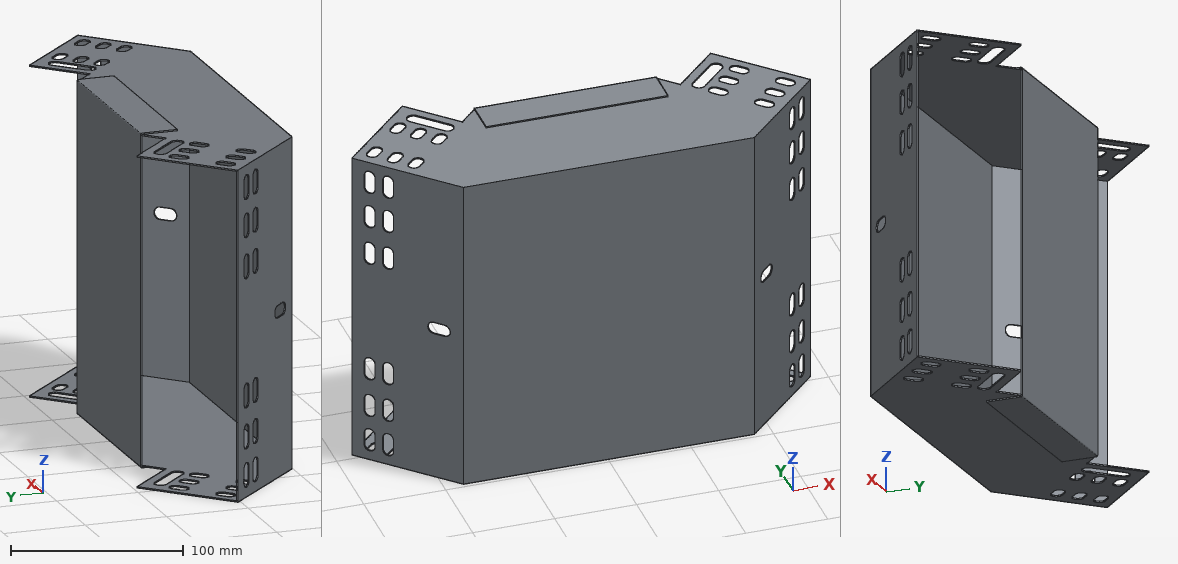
import cadquery as cq
import math

overall_width = 279.8
overall_depth = 97.0
overall_height = 203.1
sheet = 0.8

fold_angle = 45.0
tray_height = overall_height - 2 * sheet
half_width = overall_width / 2
fold_x = 88.7
flange_back_y = 80.5
wing_back_length = 39.0
wing_corner_y = half_width - fold_x

wing_rise = overall_depth - wing_corner_y
peak_x = half_width - wing_rise
notch_step = wing_back_length * math.cos(math.radians(fold_angle))
notch_x = peak_x - notch_step
notch_y = overall_depth - notch_step
back_edge_x = notch_x - (flange_back_y - notch_y)

clip_length = 2 * back_edge_x
clip_flange_depth = 22.7
clip_back_y = flange_back_y + sheet
clip_bend_radius = 1.25

panel_slot_length = 14.8
panel_slot_width = 7.0
panel_slot_us = (11.5, 23.5)
panel_slot_heights = (39.2, 64.0, 87.3)
center_slot_length = 14.5
center_slot_width = 7.5
center_slot_u = 56.5

flange_slot_length = 12.0
flange_slot_width = 7.0
flange_slot_first_u = 8.7
flange_slot_pitch = 13.5
flange_slot_columns = 3
flange_slot_vs = (12.0, 42.0)
long_slot_length = 30.0
long_slot_width = 7.8
long_slot_u = 23.0
long_slot_v = 55.5

wing_corner = (-half_width, wing_corner_y, 0)
wing_u = (1, -1, 0)
wing_outward = (-1, -1, 0)


def tray_block():
    """Full-height block with the outline of the flanges."""
    right_side = [
        (fold_x, 0),
        (half_width, wing_corner_y),
        (peak_x, overall_depth),
        (notch_x, notch_y),
        (back_edge_x, flange_back_y),
    ]
    left_side = [(-x, y) for x, y in reversed(right_side)]
    return (
        cq.Workplane("XY").polyline(right_side + left_side).close()
        .extrude(tray_height / 2, both=True)
    )


def tray_cavity():
    """Space between the flanges, open to the back and at both wing ends."""
    inner_fold_x = fold_x - sheet * math.tan(math.radians(fold_angle / 2))
    back_x = inner_fold_x + overall_depth - sheet
    points = [
        (-inner_fold_x, sheet),
        (inner_fold_x, sheet),
        (back_x, overall_depth),
        (-back_x, overall_depth),
    ]
    return cq.Workplane("XY").polyline(points).close().extrude(tray_height / 2 - sheet, both=True)


def panel_slots():
    """Cutters for the slots through the left wing panel."""
    plane = cq.Plane(origin=wing_corner, xDir=wing_u, normal=wing_outward)
    centers = [(u, side * z) for u in panel_slot_us for z in panel_slot_heights for side in (-1, 1)]
    upright = (
        cq.Workplane(plane).pushPoints(centers)
        .slot2D(panel_slot_length, panel_slot_width, 90)
        .extrude(2 * sheet, both=True)
    )
    center = (
        cq.Workplane(plane).center(center_slot_u, 0)
        .slot2D(center_slot_length, center_slot_width)
        .extrude(2 * sheet, both=True)
    )
    return upright.add(center).combine()


def flange_slots():
    """Cutters for the slots through both flanges at the left wing."""
    plane = cq.Plane(origin=wing_corner, xDir=wing_u, normal=(0, 0, 1))
    us = [flange_slot_first_u + i * flange_slot_pitch for i in range(flange_slot_columns)]
    short = (
        cq.Workplane(plane).pushPoints([(u, v) for u in us for v in flange_slot_vs])
        .slot2D(flange_slot_length, flange_slot_width, 90)
        .extrude(overall_height, both=True)
    )
    long = (
        cq.Workplane(plane).center(long_slot_u, long_slot_v)
        .slot2D(long_slot_length, long_slot_width)
        .extrude(overall_height, both=True)
    )
    return short.add(long).combine()


def make_tray():
    """Folded sheet with matching slots in both wings."""
    tray = tray_block().cut(tray_cavity())
    for slots in (panel_slots(), flange_slots()):
        tray = tray.cut(slots).cut(slots.mirror("YZ"))
    return tray


def make_clip():
    """U-shaped clip closing the back and gripping the outside of both flanges."""
    outer = (
        cq.Workplane("XY").box(clip_length, clip_flange_depth, overall_height)
        .translate((0, clip_back_y - clip_flange_depth / 2, 0))
        .edges("|X and >Y").fillet(clip_bend_radius)
    )
    inner = (
        cq.Workplane("XY").box(clip_length, clip_flange_depth, tray_height)
        .translate((0, flange_back_y - clip_flange_depth / 2, 0))
    )
    return outer.cut(inner)


tray = make_tray()
clip = make_clip()
result = cq.Compound.makeCompound([*tray.solids().vals(), *clip.solids().vals()])